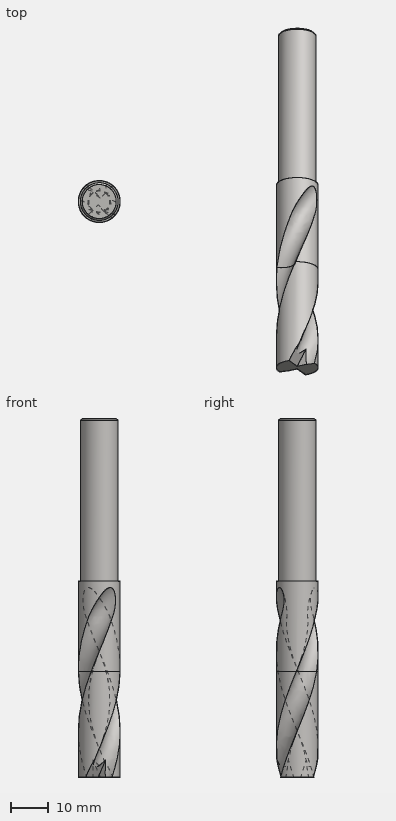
import cadquery as cq
import math

total_length = 95.0
cutting_diameter = 11.1
shank_diameter = 10.0
shank_chamfer = 0.5
tip_length = 28.0
fluted_head_length = 52.0

flute_count = 2
flute_lead = 84.0
flute_mouth_angle = 70.0
core_diameter = cutting_diameter / 2
flute_length = 42.6
flute_end_angle = -85.3

runout_radius = 17.5
runout_tilt = 31.0
runout_sweep_angle = 45.0

gash_corner = (-0.3, -0.9)
gash_headings = (225.0, -48.0)
gash_reach = 12.0
gash_lean = (0.43, -0.32)
gash_height = 12.0

body_radius = cutting_diameter / 2
core_radius = core_diameter / 2
mouth_cosine = math.cos(math.radians(flute_mouth_angle / 2))
flute_offset = (body_radius**2 - core_radius**2) / (2 * (body_radius * mouth_cosine - core_radius))
flute_radius = flute_offset - core_radius
flute_twist = 360 * flute_length / flute_lead


def flute_cutter():
    """Helical groove, from the point to the start of the run-out."""
    groove = cq.Workplane("XY").moveTo(flute_offset, 0).circle(flute_radius)
    groove = groove.twistExtrude(flute_length, flute_twist)
    return groove.rotate((0, 0, 0), (0, 0, 1), flute_end_angle - flute_twist)


def runout_cutter():
    """Groove section carried outwards along a leaning arc."""
    tilt = math.radians(runout_tilt)

    def arc_point(share):
        turn = math.radians(runout_sweep_angle * share)
        outward = runout_radius * (1 - math.cos(turn))
        along = runout_radius * math.sin(turn)
        return (flute_offset + outward, along * math.sin(tilt), flute_length + along * math.cos(tilt))

    arc = [arc_point(share) for share in (0, 0.5, 1)]
    path = cq.Workplane("XY").add(cq.Edge.makeThreePointArc(*[cq.Vector(point) for point in arc]))
    section = cq.Workplane("XY", origin=(flute_offset, 0, flute_length)).circle(flute_radius)
    runout = section.sweep(path)
    return runout.rotate((0, 0, 0), (0, 0, 1), flute_end_angle)


def gash_cutter():
    """V-shaped prism that leans out of the body as it rises."""
    corner = cq.Vector(*gash_corner, 0)
    points = [corner]
    for heading in gash_headings:
        turn = math.radians(heading)
        points.append(corner + cq.Vector(math.cos(turn), math.sin(turn), 0) * gash_reach)
    outline = cq.Wire.makePolygon(points, close=True)
    rise = cq.Vector(*gash_lean, 1) * gash_height
    return cq.Workplane(cq.Solid.extrudeLinear(outline, [], rise))


def cut_around_axis(body, cutter):
    """Remove one copy of the cutter per flute."""
    for index in range(flute_count):
        body = body.cut(cutter.rotate((0, 0, 0), (0, 0, 1), index * 360 / flute_count))
    return body


def make_cutting_tip():
    tip = cq.Workplane("XY").circle(body_radius).extrude(tip_length)
    tip = cut_around_axis(tip, flute_cutter())
    return cut_around_axis(tip, gash_cutter())


def make_shank():
    head = cq.Workplane("XY").workplane(offset=tip_length).circle(body_radius)
    head = head.extrude(fluted_head_length - tip_length)
    stem = cq.Workplane("XY").workplane(offset=fluted_head_length).circle(shank_diameter / 2)
    stem = stem.extrude(total_length - fluted_head_length).faces(">Z").chamfer(shank_chamfer)
    shank = head.union(stem)
    shank = cut_around_axis(shank, flute_cutter())
    return cut_around_axis(shank, runout_cutter())


cutting_tip = make_cutting_tip()
shank = make_shank()
result = cq.Compound.makeCompound([cutting_tip.val(), shank.val()])